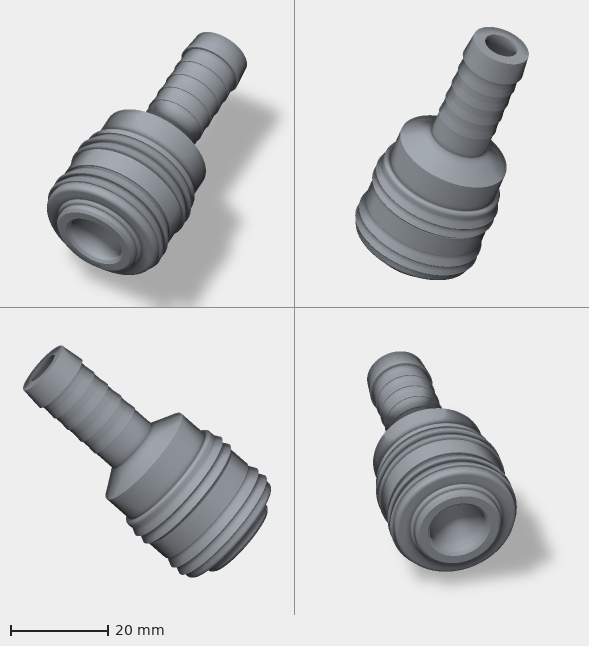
import cadquery as cq

LENGTH = 55.0

NOSE_RADIUS = 8.95
NOSE_CHAMFER = 0.55
NOSE_LENGTH = 1.75
COLLAR_RADIUS = 9.75

SLEEVE_FRONT = 2.55
SLEEVE_BACK = 20.5
SLEEVE_RADIUS = 12.7
SLEEVE_FILLET = 0.75
BAND_RADIUS = 12.8
BAND_FRONT = 9.45
BAND_BACK = 14.0

RIB_DIAMETER = 26.8
RIB_RADIUS = RIB_DIAMETER / 2
RIB_EDGE_LENGTH = 0.3
RIB_FACE_RADIUS = 13.1
RIB_ROOT_RADIUS = 12.45
RIB_PITCH = 2.3
FRONT_RIBS_START = 4.5
BACK_RIBS_START = 14.5
RIBS_PER_GROUP = 2
BACK_RIB_FACE_SLOPE = 0.2

BODY_RADIUS = 11.65
BODY_BACK = 26.8
CONE_BACK = 30.1

STEM_RADIUS = 6.05
BARB_RADIUS = 6.25
BARB_LENGTH = 1.85
BARB_PITCH = 3.75
BARB_START = 35.1
BARB_COUNT = 4
TIP_RADIUS = 6.6
TIP_START = 50.05

BORE_RADIUS = 3.5
SOCKET_RADIUS = 6.05
SOCKET_CHAMFER = 0.55
SOCKET_DEPTH = 22.0


def cylinder(radius, start, end):
    """Solid cylinder along +Y between two stations."""
    return cq.Workplane("XZ", origin=(0, start, 0)).circle(radius).extrude(start - end)


def revolve_profile(points):
    """Revolve a closed (radius, Y) outline about the Y axis."""
    return cq.Workplane("XY").polyline(points).close().revolve(360, (0, 0, 0), (0, 1, 0))


def taper(front_radius, back_radius, start, end):
    """Solid truncated cone along +Y."""
    return revolve_profile([(0, start), (front_radius, start), (back_radius, end), (0, end)])


def make_nose():
    nose = cylinder(NOSE_RADIUS, 0, SLEEVE_FRONT).faces("<Y").chamfer(NOSE_CHAMFER)
    collar = cylinder(COLLAR_RADIUS, NOSE_LENGTH, FRONT_RIBS_START)
    collar = collar.faces("<Y").edges().fillet(SLEEVE_FRONT - NOSE_LENGTH)
    return nose.union(collar)


def make_rib(start, face_slope):
    root_front = start - face_slope
    edge_back = start + RIB_EDGE_LENGTH
    root_back = root_front + RIB_PITCH
    return revolve_profile([
        (0, root_front),
        (RIB_ROOT_RADIUS, root_front),
        (RIB_FACE_RADIUS, start),
        (RIB_RADIUS, edge_back),
        (RIB_ROOT_RADIUS, root_back),
        (0, root_back),
    ])


def make_sleeve():
    core = cylinder(RIB_ROOT_RADIUS, FRONT_RIBS_START, SLEEVE_BACK - SLEEVE_FILLET)
    front_end = cylinder(SLEEVE_RADIUS, SLEEVE_FRONT, FRONT_RIBS_START)
    front_end = front_end.faces("<Y").edges().fillet(SLEEVE_FILLET)
    back_ribs_end = BACK_RIBS_START + RIBS_PER_GROUP * RIB_PITCH - BACK_RIB_FACE_SLOPE
    back_end = cylinder(SLEEVE_RADIUS, back_ribs_end, SLEEVE_BACK)
    back_end = back_end.faces(">Y").edges().fillet(SLEEVE_FILLET)
    sleeve = core.union(front_end).union(back_end)
    sleeve = sleeve.union(cylinder(BAND_RADIUS, BAND_FRONT, BAND_BACK))
    for group_start, face_slope in ((FRONT_RIBS_START, 0), (BACK_RIBS_START, BACK_RIB_FACE_SLOPE)):
        for index in range(RIBS_PER_GROUP):
            sleeve = sleeve.union(make_rib(group_start + index * RIB_PITCH, face_slope))
    return sleeve


def make_body():
    body = cylinder(BODY_RADIUS, SLEEVE_FRONT, BODY_BACK)
    return body.union(taper(BODY_RADIUS, STEM_RADIUS, BODY_BACK, CONE_BACK))


def make_hose_tail():
    tail = cylinder(STEM_RADIUS, CONE_BACK, TIP_START)
    for index in range(BARB_COUNT):
        start = BARB_START + index * BARB_PITCH
        tail = tail.union(taper(BARB_RADIUS, STEM_RADIUS, start, start + BARB_LENGTH))
    return tail.union(taper(TIP_RADIUS, STEM_RADIUS, TIP_START, LENGTH))


def make_bore():
    socket = cylinder(SOCKET_RADIUS, 0, SOCKET_DEPTH)
    mouth = taper(SOCKET_RADIUS + SOCKET_CHAMFER, SOCKET_RADIUS, 0, SOCKET_CHAMFER)
    return cylinder(BORE_RADIUS, 0, LENGTH).union(socket).union(mouth)


result = make_nose().union(make_sleeve()).union(make_body()).union(make_hose_tail()).cut(make_bore())